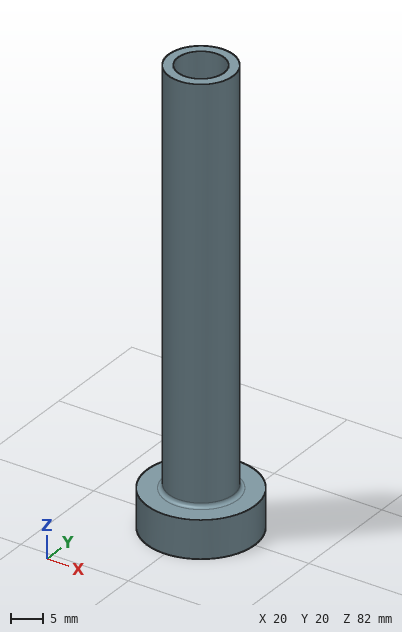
import cadquery as cq

total_height = 82.0
head_diameter = 20.0
head_height = 7.0
tube_diameter = 12.0
bore_diameter = 8.5
root_fillet = 0.7


def solid_body():
    """Head disc with the tube rising from its centre."""
    head = cq.Workplane("XY").circle(head_diameter / 2).extrude(head_height)
    tube = cq.Workplane("XY").circle(tube_diameter / 2).extrude(total_height)
    return head.union(tube)


def round_tube_root(body):
    """Concave fillet where the tube meets the top of the head."""
    reach = tube_diameter / 2 + root_fillet
    root_edge = cq.selectors.BoxSelector(
        (-reach, -reach, head_height - root_fillet),
        (reach, reach, head_height + root_fillet),
        boundingbox=True,
    )
    return body.edges(root_edge).fillet(root_fillet)


def through_bore():
    """Straight bore along the whole length."""
    return cq.Workplane("XY").circle(bore_diameter / 2).extrude(total_height)


result = round_tube_root(solid_body()).cut(through_bore())